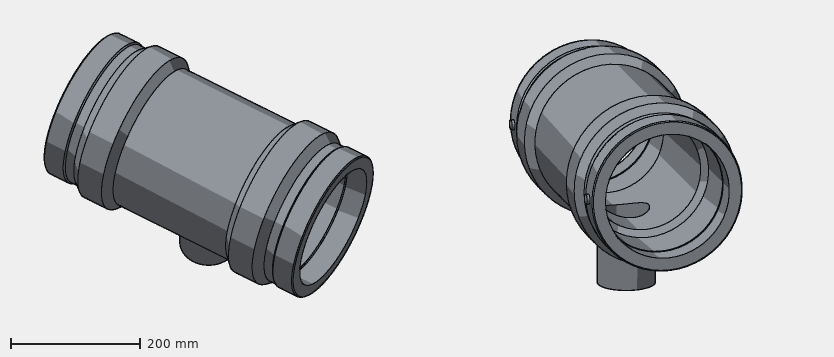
import cadquery as cq

length = 451.0
half_length = length / 2
pipe_radius = 235.0 / 2
bore_radius = 180.0 / 2

socket_bore_radius = 200.0 / 2
rim_radius = 242.5 / 2
rim_chamfer = 2.0
rim_end = 35.5
neck_radius = 237.5 / 2
neck_start = rim_end + (rim_radius - neck_radius)
neck_end = 53.0
bulge_radius = 261.0 / 2
bulge_start = 67.5
bulge_end = 110.5
pipe_start = bulge_end + (bulge_radius - pipe_radius)
bore_start = pipe_start
socket_bore_depth = bore_start - (socket_bore_radius - bore_radius)

groove_depth = 0.5

overall_height = 335.5
branch_end = overall_height - bulge_radius
branch_radius = 90.0 / 2
branch_bore_radius = 72.0 / 2
collar_radius = 94.5 / 2
collar_end = bulge_radius

stub_radius = 16.0 / 2
stub_top = 126.0
stub_from_end = 20.0


def revolved(half_profile):
    """Revolve (distance from end, radius) points about X, mirrored to both ends."""
    left = [(depth - half_length, radius) for depth, radius in half_profile]
    right = [(-x, radius) for x, radius in reversed(left)]
    outline = [(-half_length, 0)] + left + right + [(half_length, 0)]
    return cq.Workplane("XY").polyline(outline).close().revolve(360, (0, 0, 0), (1, 0, 0))


def downward_cylinder(radius, depth):
    return cq.Workplane("XY").circle(radius).extrude(-depth)


def rim_stub(x):
    root = (socket_bore_radius + rim_radius) / 2
    stub = cq.Solid.makeCylinder(
        stub_radius, stub_top - root, cq.Vector(x, root, 0), cq.Vector(0, 1, 0)
    )
    return cq.Workplane(stub)


outside = revolved([
    (0, rim_radius - rim_chamfer),
    (rim_chamfer, rim_radius),
    (rim_end, rim_radius),
    (neck_start, neck_radius),
    (neck_end, neck_radius),
    (bulge_start, bulge_radius),
    (bulge_end, bulge_radius),
    (pipe_start, pipe_radius),
])

inside = revolved([
    (0, socket_bore_radius),
    (rim_end, socket_bore_radius),
    (rim_end, socket_bore_radius + groove_depth),
    (neck_start, socket_bore_radius + groove_depth),
    (neck_start, socket_bore_radius),
    (socket_bore_depth, socket_bore_radius),
    (bore_start, bore_radius),
])

body = outside
body = body.union(downward_cylinder(collar_radius, collar_end))
body = body.union(downward_cylinder(branch_radius, branch_end))
for side in (-1, 1):
    body = body.union(rim_stub(side * (half_length - stub_from_end)))

result = body.cut(inside).cut(downward_cylinder(branch_bore_radius, branch_end))